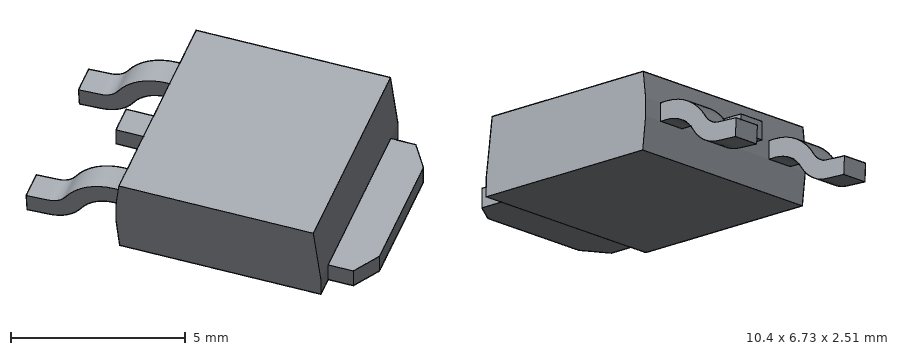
import cadquery as cq
import math

overall_length = 10.42
overall_height = 2.51

housing_width = 6.73
housing_left = 2.94
housing_right = 9.15
housing_bottom = 0.14
left_top_inset = 0.09
left_bottom_inset = 0.11
right_top_inset = 0.23

lead_width = 0.9
lead_thickness = 0.56
lead_offset = 2.28
foot_length = 0.69
foot_tilt = math.radians(3)
steepest_slope = math.radians(57)
lower_bend_radius = 0.65
upper_bend_radius = 1.77

stub_left = 1.93

tab_width = 2 * lead_offset + lead_width
tab_height = 0.59
tab_corner_length = 0.51
tab_corner_width = 0.81


def on_bend(center, radius, slope, side):
    """Point on a bend where its tangent has the given slope; side is 1 above the center, -1 below it."""
    return (
        center[0] - side * radius * math.sin(slope),
        center[1] + side * radius * math.cos(slope),
    )


tip_top = (0.0, lead_thickness * math.cos(foot_tilt))
tip_bottom = (lead_thickness * math.sin(foot_tilt), 0.0)
foot_end = (foot_length, tip_top[1] + foot_length * math.tan(foot_tilt))
lower_center = (
    foot_end[0] - lower_bend_radius * math.sin(foot_tilt),
    foot_end[1] + lower_bend_radius * math.cos(foot_tilt),
)
inflection = on_bend(lower_center, lower_bend_radius, steepest_slope, -1)
upper_center = (
    inflection[0] + upper_bend_radius * math.sin(steepest_slope),
    inflection[1] - upper_bend_radius * math.cos(steepest_slope),
)
shank_top = upper_center[1] + upper_bend_radius
shank_bottom = shank_top - lead_thickness


def make_housing():
    """Molded block with drafted ends and a vertical band level with the lead shanks."""
    return (
        cq.Workplane("XZ")
        .moveTo(housing_left + left_bottom_inset, housing_bottom)
        .lineTo(housing_right, housing_bottom)
        .lineTo(housing_right, housing_bottom + tab_height)
        .lineTo(housing_right - right_top_inset, overall_height)
        .lineTo(housing_left + left_top_inset, overall_height)
        .lineTo(housing_left, shank_top)
        .lineTo(housing_left, shank_bottom)
        .close()
        .extrude(housing_width / 2, both=True)
    )


def make_bent_lead(center_y):
    """Gull-wing lead centered on center_y, ending at the housing face."""
    outer_lower_radius = lower_bend_radius + lead_thickness
    inner_upper_radius = upper_bend_radius - lead_thickness
    lower_middle = (foot_tilt + steepest_slope) / 2
    upper_middle = steepest_slope / 2
    return (
        cq.Workplane("XZ")
        .moveTo(*tip_top)
        .lineTo(*foot_end)
        .threePointArc(on_bend(lower_center, lower_bend_radius, lower_middle, -1), inflection)
        .threePointArc(
            on_bend(upper_center, upper_bend_radius, upper_middle, 1),
            (upper_center[0], shank_top),
        )
        .lineTo(housing_left, shank_top)
        .lineTo(housing_left, shank_bottom)
        .lineTo(upper_center[0], shank_bottom)
        .threePointArc(
            on_bend(upper_center, inner_upper_radius, upper_middle, 1),
            on_bend(upper_center, inner_upper_radius, steepest_slope, 1),
        )
        .threePointArc(
            on_bend(lower_center, outer_lower_radius, lower_middle, -1),
            on_bend(lower_center, outer_lower_radius, foot_tilt, -1),
        )
        .lineTo(*tip_bottom)
        .close()
        .extrude(lead_width / 2, both=True)
        .translate((0, center_y, 0))
    )


def make_stub_lead():
    """Short straight middle lead, level with the shanks of the bent leads."""
    return cq.Workplane("XY").box(
        housing_left - stub_left, lead_width, lead_thickness, centered=(False, True, False)
    ).translate((stub_left, 0, shank_bottom))


def make_tab():
    """Flat tab with two cut corners, flush with the housing underside."""
    half_width = tab_width / 2
    end_half_width = half_width - tab_corner_width
    corner_start = overall_length - tab_corner_length
    return (
        cq.Workplane("XY", origin=(0, 0, housing_bottom))
        .moveTo(housing_right, -half_width)
        .lineTo(corner_start, -half_width)
        .lineTo(overall_length, -end_half_width)
        .lineTo(overall_length, end_half_width)
        .lineTo(corner_start, half_width)
        .lineTo(housing_right, half_width)
        .close()
        .extrude(tab_height)
    )


housing = make_housing()
bent_leads = [make_bent_lead(side * lead_offset) for side in (-1, 1)]
stub_lead = make_stub_lead()
tab = make_tab()

result = cq.Compound.makeCompound([
    housing.val(),
    *[lead.val() for lead in bent_leads],
    stub_lead.val(),
    tab.val(),
])